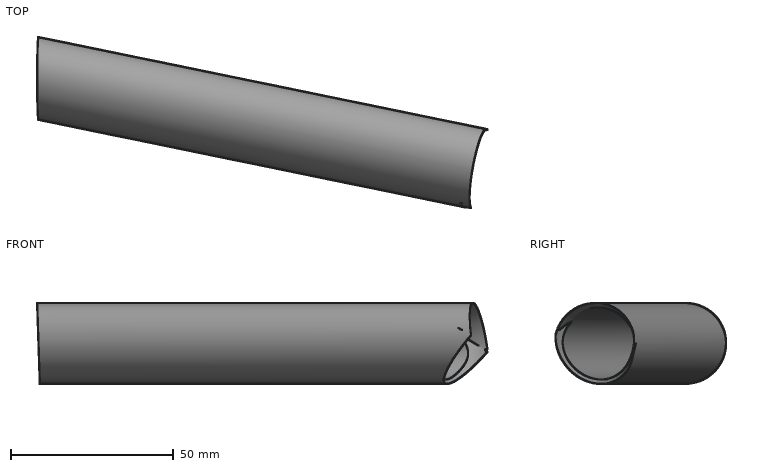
import cadquery as cq
import math

outer_radius = 12.5
wall = 1.4
bore_radius = outer_radius - wall
swing = 11.6
joint_distance = 138.9
end_stock = 41.7

left_lean = 1.9

lower_lean_x = -8.3
lower_lean_y = 13.9
upper_swing = 8.8
upper_rise = 18.7

tool_size = 111.2


def heading(clockwise, rise):
    """Unit vector turned clockwise from +X and raised above horizontal."""
    turn = math.radians(clockwise)
    lift = math.radians(rise)
    return cq.Vector(
        math.cos(lift) * math.cos(turn),
        -math.cos(lift) * math.sin(turn),
        math.sin(lift),
    )


tube_axis = heading(swing, 0)
upper_axis = heading(upper_swing, upper_rise)
lower_axis = cq.Vector(
    math.tan(math.radians(lower_lean_x)), math.tan(math.radians(lower_lean_y)), 1
).normalized()
joint = tube_axis * joint_distance


def rod(radius, start, axis, length):
    """Solid round bar."""
    return cq.Workplane(cq.Solid.makeCylinder(radius, length, start, axis))


def half_space(origin, normal):
    """Square block lying on the positive side of a plane."""
    plane = cq.Plane(origin=origin, normal=normal)
    return cq.Workplane(plane).rect(2 * tool_size, 2 * tool_size).extrude(2 * tool_size)


def make_tube():
    """Hollow tube, overlong at both ends."""
    start = tube_axis * -end_stock
    length = joint_distance + 2 * end_stock
    return rod(outer_radius, start, tube_axis, length).cut(rod(bore_radius, start, tube_axis, length))


def cross_leg(axis):
    """Long bar through the joint centre, as wide as the tube."""
    return rod(outer_radius, joint - axis * tool_size, axis, 2 * tool_size)


tube = make_tube()

left_normal = heading(0, left_lean) * -1
tube = tube.cut(half_space(cq.Vector(0, 0, 0), left_normal))

tube = tube.cut(half_space(joint, tube_axis + upper_axis))

leg_mitre = half_space(joint, lower_axis + upper_axis)
tube = tube.cut(cross_leg(lower_axis).cut(leg_mitre))
tube = tube.cut(cross_leg(upper_axis).intersect(leg_mitre))

result = cq.Workplane(max(tube.solids().vals(), key=lambda solid: solid.Volume()))